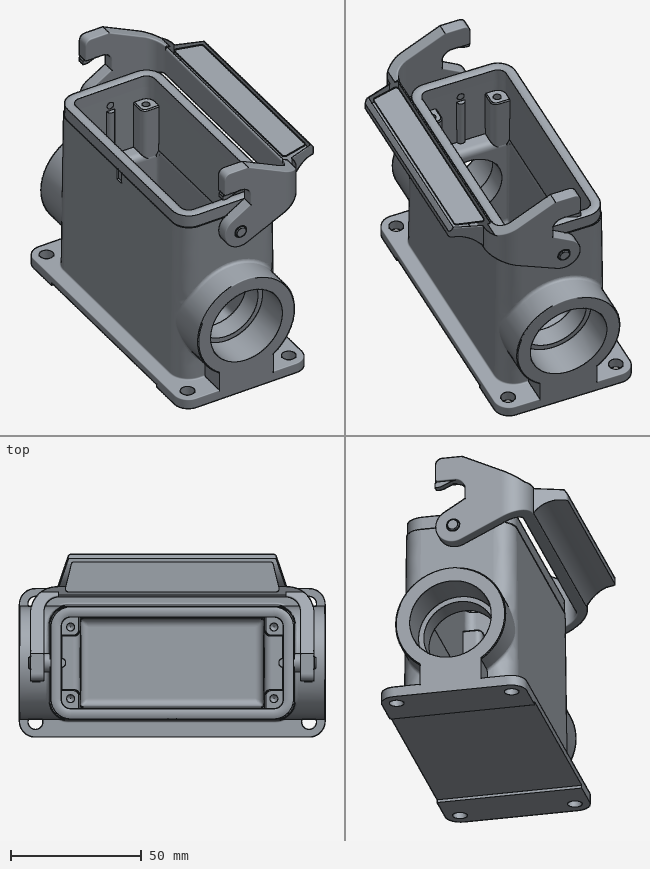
import cadquery as cq
import math

PLATE_LENGTH = 117.0
PLATE_WIDTH = 56.9
PLATE_HEIGHT = 4.2
PLATE_CORNER = 6.2
PLATE_EDGE = 0.4
MOUNT_HOLE_DIAMETER = 5.6
MOUNT_HOLE_X = 52.3
MOUNT_HOLE_Y = 22.6
RELIEF_LENGTH = 77.7
RELIEF_DEPTH = 1.2

BODY_LENGTH = 95.2
BODY_WIDTH = 44.8
BODY_CORNER = 8.1
BODY_DRAFT = 0.68
BODY_TOP = 75.0
BODY_FOOT_FILLET = 0.6
RIM_LENGTH = 92.7
RIM_WIDTH = 42.8
RIM_CORNER = 7.5
RIM_WALL = 3.9
RIM_TOP = 80.7
RIM_CROWN = 0.5
NOTCH_WIDTH = 3.3
NOTCH_HEIGHT = 4.7
NOTCH_DEPTH = 0.6

SHELF_Z = 48.8
SHELF_FILLET = 2.8
FLOOR_Z = 5.4
FLOOR_FILLET = 2.9
WELL_LENGTH = 70.4
WELL_WIDTH = 33.9
WELL_CORNER = 1.2
WELL_DRAFT = 0.5

POST_TOP = 69.6
POST_END_X = 35.3
POST_SIDE_Y = 10.2
POST_CORNER = 2.3
POST_EDGE = 0.5
POST_HOLE_DIAMETER = 3.0
POST_HOLE_DEPTH = 11.7
POST_HOLE_X = 38.8
POST_HOLE_Y = 13.7
RIB_RADIUS = 1.8

ENTRY_Z = 30.3
ENTRY_RADIUS = 21.6
ENTRY_BORE = 28.0
ENTRY_COUNTERBORE = 32.0
ENTRY_COUNTERBORE_DEPTH = 14.7
ENTRY_EDGE = 0.4
ENTRY_ROOT_FILLET = 1.2
NECK_WIDTH = 23.9

PIVOT_Z = 71.8
PIVOT_BOSS_DIAMETER = 7.0
PIVOT_PIN_DIAMETER = 4.8
PIVOT_TIP_DIAMETER = 4.0
PIVOT_DIMPLE_DIAMETER = 2.9
PIVOT_DIMPLE_DEPTH = 1.2
PIVOT_TIP_X = 54.9

LEVER_HALF = 54.2
LEVER_INNER_HALF = 49.0
LEVER_BACK_Y = 29.1
LEVER_INNER_BACK_Y = 25.2
LEVER_CORNER = 10.1
LEVER_INNER_CORNER = 5.6
LEVER_HOLE_DIAMETER = 5.1
LEVER_EYE_RADIUS = 6.9
LEVER_EDGE = 0.4
LEVER_INNER_EDGE = 0.5
LEVER_TOP = 100.6
BAIL_TOP = 89.0
BAIL_BOTTOM = 78.0
BAIL_EDGE = 0.8
SLOPE_FOOT_Y = 27.1
HOOK_TOP_BACK_Y = 3.5
HOOK_NOSE_Y = -7.0
HOOK_CORNER = 2.7
SLOT_BACK_Y = 4.6
SLOT_TOP = 91.0
SLOT_BOTTOM = 82.7
SLOT_CORNER = 4.1
NUB_X = 52.0
NUB_WIDTH = 2.9

GRIP_TIP_Y = 41.5
GRIP_ROOT_HALF = 43.8
GRIP_TIP_HALF = 39.5
GRIP_CORNER = 1.2
GRIP_SEAT_Y = 26.9
GRIP_BOTTOM = 84.5
GRIP_ROOT_BOTTOM = 78.5
GRIP_HOLLOW_Y = 37.7
GRIP_HOLLOW_MIDDLE = (32.8, 82.4)
GRIP_BEVEL_RUN = 1.4
GRIP_BEVEL_DROP = 2.0
GRIP_EDGE = 0.5
PANEL_BACK_Y = 38.6
PANEL_FRONT_Y = 27.1
PANEL_BACK_HALF = 38.4
PANEL_FRONT_HALF = 41.2
PANEL_DEPTH = 0.5

SIDES = (-1, 1)
CAVITY_LENGTH = RIM_LENGTH - 2 * RIM_WALL
CAVITY_WIDTH = RIM_WIDTH - 2 * RIM_WALL
CAVITY_CORNER = RIM_CORNER - RIM_WALL


def rounded_box(length, width, corner, bottom, height, draft=0.0):
    """Upright block with rounded vertical corners, centred on the Z axis."""
    outline = cq.Sketch().rect(length, width).vertices().fillet(corner)
    return cq.Workplane("XY", origin=(0, 0, bottom)).placeSketch(outline).extrude(height, taper=draft)


def box(x_range, y_range, z_range):
    """Block between two limits along each axis."""
    size = [high - low for low, high in (x_range, y_range, z_range)]
    corner = [low for low, _ in (x_range, y_range, z_range)]
    return cq.Workplane("XY").box(*size, centered=False).translate(tuple(corner))


def x_cylinder(diameter, x_start, x_end, z):
    """Cylinder along X in the middle plane y = 0."""
    plane = cq.Workplane("YZ", origin=(x_start, 0, z))
    return plane.circle(diameter / 2).extrude(x_end - x_start)


def trapezoid(front_y, back_y, front_half, back_half, bottom, top):
    """Upright block whose plan is a trapezoid, symmetrical about x = 0."""
    corners = [(-front_half, front_y), (front_half, front_y), (back_half, back_y), (-back_half, back_y)]
    return cq.Workplane("XY", origin=(0, 0, bottom)).polyline(corners).close().extrude(top - bottom)


def tangent_point(point, centre, radius, turn):
    """Where the line from a point touches a circle; turn (+1 or -1) picks the side."""
    dy, dz = point[0] - centre[0], point[1] - centre[1]
    angle = math.atan2(dz, dy) + turn * math.acos(radius / math.hypot(dy, dz))
    return (centre[0] + radius * math.cos(angle), centre[1] + radius * math.sin(angle))


def make_plate_and_walls():
    """Base plate with the drafted walls standing on it and a fillet around their foot."""
    plate = rounded_box(PLATE_LENGTH, PLATE_WIDTH, PLATE_CORNER, 0, PLATE_HEIGHT)
    plate = plate.faces(">Z").edges().fillet(PLATE_EDGE)
    wall_height = BODY_TOP - PLATE_HEIGHT
    walls = rounded_box(BODY_LENGTH, BODY_WIDTH, BODY_CORNER, PLATE_HEIGHT, wall_height, BODY_DRAFT)
    foot_edges = cq.selectors.BoxSelector(
        (-BODY_LENGTH / 2 - 0.1, -BODY_WIDTH / 2 - 0.1, PLATE_HEIGHT - 0.1),
        (BODY_LENGTH / 2 + 0.1, BODY_WIDTH / 2 + 0.1, PLATE_HEIGHT + 0.1),
        boundingbox=True,
    )
    return plate.union(walls).edges(foot_edges).fillet(BODY_FOOT_FILLET)


def make_rim():
    """Straight rim with a slightly arched bead along its top."""
    bead_z = RIM_TOP - RIM_CROWN
    rim = rounded_box(RIM_LENGTH, RIM_WIDTH, RIM_CORNER, BODY_TOP, bead_z - BODY_TOP)
    outer_y = RIM_WIDTH / 2
    middle_y = outer_y - RIM_WALL / 2
    profile = cq.Workplane("YZ").moveTo(outer_y, bead_z)
    profile = profile.threePointArc((middle_y, RIM_TOP), (outer_y - RIM_WALL, bead_z)).close()
    core = rounded_box(
        RIM_LENGTH - RIM_WALL, RIM_WIDTH - RIM_WALL, RIM_CORNER - RIM_WALL / 2, BODY_TOP, bead_z - BODY_TOP
    )
    bead = profile.sweep(core.faces(">Z").wires())
    return rim.union(bead)


def make_entry(side):
    """Cable entry boss on one end, with the neck that joins it to the plate."""
    inner_x = side * WELL_LENGTH / 2
    outer_x = side * PLATE_LENGTH / 2
    boss = x_cylinder(2 * ENTRY_RADIUS, inner_x, outer_x, ENTRY_Z)
    boss = boss.faces(">X" if side > 0 else "<X").edges().fillet(ENTRY_EDGE)
    neck = box(sorted((inner_x, outer_x)), (-NECK_WIDTH / 2, NECK_WIDTH / 2), (0, ENTRY_Z))
    return boss.union(neck)


def fillet_entry_roots(shell):
    """Round the curved corners where the cable entries run into the walls."""
    half_length = BODY_LENGTH / 2
    half_width = BODY_WIDTH / 2
    top = ENTRY_Z + ENTRY_RADIUS + 1.2
    for side in SIDES:
        x_low, x_high = sorted((side * (half_length + 0.1), side * WELL_LENGTH / 2))
        root = cq.selectors.BoxSelector(
            (x_low, -half_width, PLATE_HEIGHT + 1.2), (x_high, half_width, top), boundingbox=True
        )
        curved = shell.edges(root).edges("not #Z").edges("(not %LINE) and (not %CIRCLE)")
        shell = curved.fillet(ENTRY_ROOT_FILLET)
    return shell


def make_entry_bore(side):
    """Stepped bore through one cable entry."""
    outer_x = side * PLATE_LENGTH / 2
    shoulder_x = outer_x - side * ENTRY_COUNTERBORE_DEPTH
    bore = x_cylinder(ENTRY_BORE, 0, outer_x, ENTRY_Z)
    counterbore = x_cylinder(ENTRY_COUNTERBORE, shoulder_x, outer_x, ENTRY_Z)
    return bore.union(counterbore)


def make_cavity():
    """Upper opening down to the shelf, and the narrower well with a rounded floor below it."""
    mouth = rounded_box(CAVITY_LENGTH, CAVITY_WIDTH, CAVITY_CORNER, BODY_TOP, RIM_TOP - BODY_TOP)
    opening = rounded_box(
        CAVITY_LENGTH, CAVITY_WIDTH, CAVITY_CORNER, BODY_TOP, SHELF_Z - BODY_TOP, BODY_DRAFT
    )
    well = rounded_box(WELL_LENGTH, WELL_WIDTH, WELL_CORNER, SHELF_Z, FLOOR_Z - SHELF_Z, WELL_DRAFT)
    well = well.faces("<Z").edges().fillet(FLOOR_FILLET)
    cavity = mouth.union(opening).union(well)
    shelf_edges = cq.selectors.BoxSelector(
        (-WELL_LENGTH / 2 - 0.1, -WELL_WIDTH, SHELF_Z - 0.1),
        (WELL_LENGTH / 2 + 0.1, WELL_WIDTH, SHELF_Z + 0.1),
        boundingbox=True,
    )
    return cavity.edges(shelf_edges).edges("|Y").fillet(SHELF_FILLET)


def make_post(side_x, side_y):
    """Screw post standing on the shelf in one corner of the cavity."""
    wall_x = side_x * (CAVITY_LENGTH / 2 + RIM_WALL / 2)
    wall_y = side_y * (CAVITY_WIDTH / 2 + RIM_WALL / 2)
    x_limits = sorted((side_x * POST_END_X, wall_x))
    y_limits = sorted((side_y * POST_SIDE_Y, wall_y))
    post = box(x_limits, y_limits, (SHELF_Z - SHELF_FILLET, POST_TOP))
    free_x = "<X" if side_x > 0 else ">X"
    free_y = "<Y" if side_y > 0 else ">Y"
    post = post.faces(free_x).edges(free_y).fillet(POST_CORNER)
    post = post.faces(">Z").edges().chamfer(POST_EDGE)
    hole = cq.Workplane("XY", origin=(side_x * POST_HOLE_X, side_y * POST_HOLE_Y, POST_TOP))
    hole = hole.circle(POST_HOLE_DIAMETER / 2).extrude(-POST_HOLE_DEPTH)
    hole = hole.faces("<Z").chamfer(POST_HOLE_DIAMETER / 2 - 0.01)
    return post.cut(hole)


def make_rib(side):
    """Half-round rib on one end wall, below the pivot."""
    rib = cq.Workplane("XY", origin=(side * CAVITY_LENGTH / 2, 0, SHELF_Z))
    return rib.circle(RIB_RADIUS).extrude(POST_TOP - SHELF_Z)


def make_pivot(side):
    """Boss and chamfered pin on which one arm of the lever turns."""
    root_x = side * (CAVITY_LENGTH + RIM_WALL) / 2
    tip_chamfer = (PIVOT_PIN_DIAMETER - PIVOT_TIP_DIAMETER) / 2
    boss = x_cylinder(PIVOT_BOSS_DIAMETER, root_x, side * LEVER_INNER_HALF, PIVOT_Z)
    pin = x_cylinder(PIVOT_PIN_DIAMETER, root_x, side * PIVOT_TIP_X, PIVOT_Z)
    pin = pin.faces(">X" if side > 0 else "<X").edges().chamfer(tip_chamfer)
    return boss.union(pin)


def make_housing():
    """Housing with its plate, cable entries, cavity, posts and pivots."""
    housing = make_plate_and_walls().union(make_rim())
    for side in SIDES:
        housing = housing.union(make_entry(side))
    housing = fillet_entry_roots(housing)
    housing = housing.cut(make_cavity())
    for side in SIDES:
        housing = housing.cut(make_entry_bore(side))
        housing = housing.union(make_rib(side)).union(make_pivot(side))
        for side_y in SIDES:
            housing = housing.union(make_post(side, side_y))
    for side in SIDES:
        dimple_x = side * CAVITY_LENGTH / 2
        dimple_end = dimple_x + side * PIVOT_DIMPLE_DEPTH
        housing = housing.cut(x_cylinder(PIVOT_DIMPLE_DIAMETER, dimple_x, dimple_end, PIVOT_Z))
    holes = cq.Workplane("XY").rect(2 * MOUNT_HOLE_X, 2 * MOUNT_HOLE_Y, forConstruction=True)
    holes = holes.vertices().circle(MOUNT_HOLE_DIAMETER / 2).extrude(PLATE_HEIGHT)
    half_relief = RELIEF_LENGTH / 2
    relief = box((-half_relief, half_relief), (-PLATE_WIDTH / 2, PLATE_WIDTH / 2), (0, RELIEF_DEPTH))
    notch = box(
        (-NOTCH_WIDTH / 2, NOTCH_WIDTH / 2),
        (-BODY_WIDTH / 2, -RIM_WIDTH / 2 + NOTCH_DEPTH),
        (BODY_TOP - NOTCH_HEIGHT, BODY_TOP),
    )
    return housing.cut(holes).cut(relief).cut(notch)


def make_arm_profile():
    """Side outline of the lever: back edge, hook, slot and pivot eye."""
    eye = (0, PIVOT_Z)
    back_top = (LEVER_BACK_Y, BAIL_TOP)
    back_bottom = (LEVER_BACK_Y, BAIL_BOTTOM)
    slot_bottom = (SLOT_BACK_Y, SLOT_BOTTOM)
    eye_front = tangent_point(slot_bottom, eye, LEVER_EYE_RADIUS, 1)
    eye_back = tangent_point(back_bottom, eye, LEVER_EYE_RADIUS, -1)
    eye_low_angle = math.radians(225)
    eye_low = (
        LEVER_EYE_RADIUS * math.cos(eye_low_angle),
        PIVOT_Z + LEVER_EYE_RADIUS * math.sin(eye_low_angle),
    )
    slot_arc = SLOT_CORNER * (1 - math.sqrt(0.5))
    nose_arc = HOOK_CORNER * (1 - math.sqrt(0.5))
    return (
        cq.Workplane("YZ", origin=(-LEVER_HALF, 0, 0))
        .moveTo(*back_top)
        .lineTo(SLOPE_FOOT_Y, BAIL_TOP)
        .lineTo(HOOK_TOP_BACK_Y, LEVER_TOP)
        .lineTo(HOOK_NOSE_Y + HOOK_CORNER, LEVER_TOP)
        .threePointArc(
            (HOOK_NOSE_Y + nose_arc, LEVER_TOP - nose_arc), (HOOK_NOSE_Y, LEVER_TOP - HOOK_CORNER)
        )
        .lineTo(HOOK_NOSE_Y, SLOT_TOP)
        .lineTo(SLOT_BACK_Y - SLOT_CORNER, SLOT_TOP)
        .threePointArc(
            (SLOT_BACK_Y - slot_arc, SLOT_TOP - slot_arc), (SLOT_BACK_Y, SLOT_TOP - SLOT_CORNER)
        )
        .lineTo(*slot_bottom)
        .lineTo(*eye_front)
        .threePointArc(eye_low, eye_back)
        .lineTo(*back_bottom)
        .close()
    )


def make_yoke():
    """U-shaped lever: two arms joined by the bail behind the rim."""
    front_y = -LEVER_EYE_RADIUS - LEVER_CORNER
    outer = box((-LEVER_HALF, LEVER_HALF), (front_y, LEVER_BACK_Y), (0, LEVER_TOP))
    outer = outer.faces(">Y").edges("|Z").fillet(LEVER_CORNER)
    inner = box(
        (-LEVER_INNER_HALF, LEVER_INNER_HALF), (front_y, LEVER_INNER_BACK_Y), (0, LEVER_TOP)
    )
    inner = inner.faces(">Y").edges("|Z").fillet(LEVER_INNER_CORNER)
    yoke = make_arm_profile().extrude(2 * LEVER_HALF).intersect(outer).cut(inner)
    straight_half = LEVER_INNER_HALF - LEVER_INNER_CORNER
    above_bail = box(
        (-straight_half, straight_half), (LEVER_INNER_BACK_Y - 1.2, LEVER_BACK_Y), (BAIL_TOP, LEVER_TOP)
    )
    yoke = yoke.cut(above_bail)
    for side in SIDES:
        yoke = yoke.faces(">X" if side > 0 else "<X").edges().fillet(LEVER_EDGE)
        arm_x = side * LEVER_INNER_HALF
        arm_face = cq.selectors.BoxSelector(
            (arm_x - 0.1, -LEVER_CORNER, 0), (arm_x + 0.1, LEVER_BACK_Y, LEVER_TOP + 1.2), boundingbox=True
        )
        yoke = yoke.faces(arm_face).edges().fillet(LEVER_INNER_EDGE)
    return yoke


def make_grip():
    """Thumb grip: a tapered plate, hollowed underneath, with a bevelled tip."""
    side_view = (
        cq.Workplane("YZ", origin=(-GRIP_ROOT_HALF, 0, 0))
        .moveTo(GRIP_SEAT_Y, BAIL_TOP)
        .lineTo(GRIP_TIP_Y - GRIP_BEVEL_RUN, BAIL_TOP)
        .lineTo(GRIP_TIP_Y, BAIL_TOP - GRIP_BEVEL_DROP)
        .lineTo(GRIP_TIP_Y, GRIP_BOTTOM)
        .lineTo(GRIP_HOLLOW_Y, GRIP_BOTTOM)
        .threePointArc(GRIP_HOLLOW_MIDDLE, (LEVER_BACK_Y, GRIP_ROOT_BOTTOM))
        .lineTo(GRIP_SEAT_Y, GRIP_ROOT_BOTTOM)
        .close()
        .extrude(2 * GRIP_ROOT_HALF)
    )
    plan = trapezoid(LEVER_BACK_Y, GRIP_TIP_Y, GRIP_ROOT_HALF, GRIP_TIP_HALF, BAIL_BOTTOM, BAIL_TOP)
    plan = plan.faces(">Y").edges("|Z").fillet(GRIP_CORNER)
    seat = box((-GRIP_ROOT_HALF, GRIP_ROOT_HALF), (GRIP_SEAT_Y, LEVER_BACK_Y), (BAIL_BOTTOM, BAIL_TOP))
    return side_view.intersect(plan.union(seat)).faces(">Z").edges("not <Y").fillet(GRIP_EDGE)


def make_panel():
    """Shallow recess in the top of the grip."""
    panel = trapezoid(
        PANEL_FRONT_Y, PANEL_BACK_Y, PANEL_FRONT_HALF, PANEL_BACK_HALF, BAIL_TOP - PANEL_DEPTH, BAIL_TOP
    )
    return panel.edges("|Z").fillet(GRIP_CORNER)


def make_nub(side):
    """Rounded detent under the hook of one arm."""
    return (
        cq.Workplane("YZ", origin=(side * NUB_X - NUB_WIDTH / 2, 0, 0))
        .moveTo(1.4, SLOT_TOP)
        .spline([(-1.8, 90.3), (-4.7, 89.0), (-7.4, 88.8)], includeCurrent=True)
        .lineTo(-7.4, 90.3)
        .lineTo(-6.4, 91.6)
        .lineTo(1.4, 91.6)
        .close()
        .extrude(NUB_WIDTH)
    )


def make_lever():
    """Locking lever with its grip, detents and pivot holes."""
    lever = make_yoke().union(make_grip())
    bail_edge = cq.selectors.NearestToPointSelector((0, LEVER_INNER_BACK_Y, BAIL_TOP))
    lever = lever.edges(bail_edge).fillet(BAIL_EDGE).cut(make_panel())
    for side in SIDES:
        lever = lever.union(make_nub(side))
    return lever.cut(x_cylinder(LEVER_HOLE_DIAMETER, -LEVER_HALF, LEVER_HALF, PIVOT_Z))


housing = make_housing()
lever = make_lever()
result = cq.Compound.makeCompound([housing.val(), lever.val()])